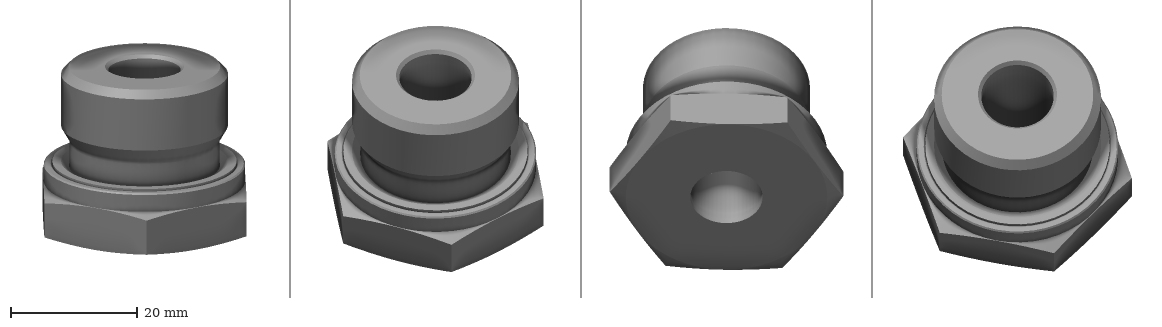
import cadquery as cq
import math

hex_corner_diameter = 36.95
hex_height = 7.02
hex_chamfer_angle = 15.0
hex_chamfer_start_diameter = 31.9

collar_radius = 31.9 / 2
collar_top = 10.0
collar_chamfer = 0.22

neck_radius = 23.8 / 2
shank_radius = 26.42 / 2
shank_bottom = 16.3
total_height = 26.0
shank_chamfer = 1.22
relief_angle = 30.0
relief_fillet_radius = 1.33

bore_radius = 11.45 / 2
bore_chamfer = 0.5

groove_outer_radius = 29.3 / 2
groove_chamfer = 0.2
groove_depth = 1.48
groove_floor = collar_top - groove_depth
ring_outer_radius = 29.2 / 2
ring_inner_radius = 23.9 / 2
ring_mouth_radius = 26.42 / 2
ring_top = 10.35
ring_cone_depth = 0.75


def revolve_about_z(profile):
    """Turn a closed (radius, height) profile about the Z axis."""
    return profile.close().revolve(360, (0, 0, 0), (0, 1, 0))


def make_hexagon():
    """Hexagon with corners on the Y axis and conical chamfers at both ends."""
    prism = (
        cq.Workplane("XY")
        .polygon(6, hex_corner_diameter)
        .extrude(hex_height)
        .rotate((0, 0, 0), (0, 0, 1), 90)
    )
    start_radius = hex_chamfer_start_diameter / 2
    corner_radius = hex_corner_diameter / 2
    corner_drop = (corner_radius - start_radius) * math.tan(math.radians(hex_chamfer_angle))
    envelope = revolve_about_z(
        cq.Workplane("XZ")
        .moveTo(0, 0)
        .lineTo(start_radius, 0)
        .lineTo(corner_radius, corner_drop)
        .lineTo(corner_radius, hex_height - corner_drop)
        .lineTo(start_radius, hex_height)
        .lineTo(0, hex_height)
    )
    return prism.intersect(envelope)


def make_turned_part():
    """Collar with open groove, neck, relief cone and chamfered shank."""
    slope = math.radians(relief_angle)
    fillet_top_radius = neck_radius + relief_fillet_radius * (1 - math.cos(slope))
    fillet_mid_radius = neck_radius + relief_fillet_radius * (1 - math.cos(slope / 2))
    fillet_top = shank_bottom - (shank_radius - fillet_top_radius) / math.tan(slope)
    fillet_bottom = fillet_top - relief_fillet_radius * math.sin(slope)
    fillet_mid = fillet_bottom + relief_fillet_radius * math.sin(slope / 2)
    return revolve_about_z(
        cq.Workplane("XZ")
        .moveTo(0, hex_height)
        .lineTo(collar_radius, hex_height)
        .lineTo(collar_radius, collar_top - collar_chamfer)
        .lineTo(collar_radius - collar_chamfer, collar_top)
        .lineTo(groove_outer_radius + groove_chamfer, collar_top)
        .lineTo(groove_outer_radius, collar_top - groove_chamfer)
        .lineTo(groove_outer_radius, groove_floor)
        .lineTo(neck_radius, groove_floor)
        .lineTo(neck_radius, fillet_bottom)
        .threePointArc((fillet_mid_radius, fillet_mid), (fillet_top_radius, fillet_top))
        .lineTo(shank_radius, shank_bottom)
        .lineTo(shank_radius, total_height - shank_chamfer)
        .lineTo(shank_radius - shank_chamfer, total_height)
        .lineTo(0, total_height)
    )


def make_bore():
    """Through bore with a chamfered mouth at the top."""
    return revolve_about_z(
        cq.Workplane("XZ")
        .moveTo(0, 0)
        .lineTo(bore_radius, 0)
        .lineTo(bore_radius, total_height - bore_chamfer)
        .lineTo(bore_radius + bore_chamfer, total_height)
        .lineTo(0, total_height)
    )


def make_plug():
    return make_hexagon().union(make_turned_part()).cut(make_bore())


def make_sealing_ring():
    """Ring resting on the groove floor, with a conical inner mouth."""
    return revolve_about_z(
        cq.Workplane("XZ")
        .moveTo(ring_inner_radius, groove_floor)
        .lineTo(ring_outer_radius, groove_floor)
        .lineTo(ring_outer_radius, ring_top)
        .lineTo(ring_mouth_radius, ring_top)
        .lineTo(ring_inner_radius, ring_top - ring_cone_depth)
    )


plug = make_plug()
sealing_ring = make_sealing_ring()

result = cq.Compound.makeCompound([plug.val(), sealing_ring.val()])